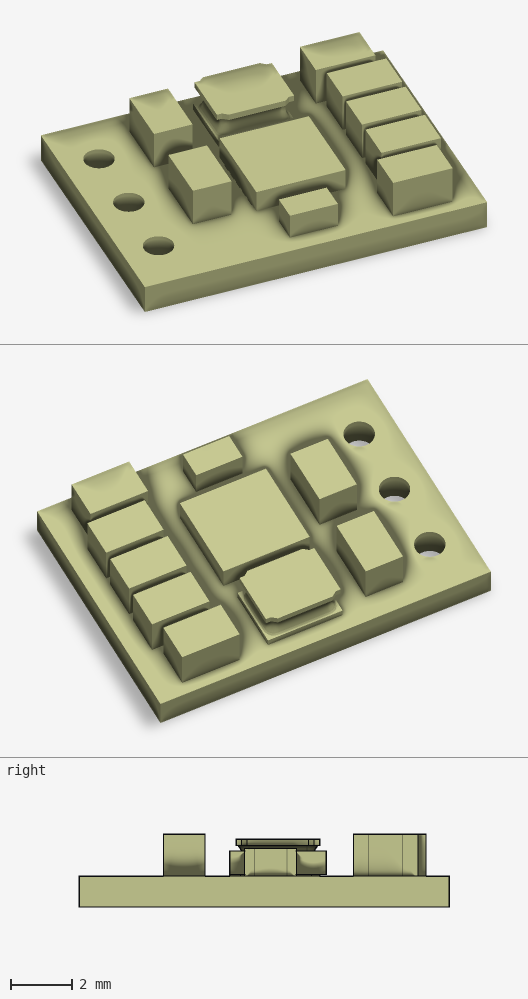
import cadquery as cq

BOARD_X = 8.89
BOARD_Y = 12.06
BOARD_Z = 1.01

HOLE_COUNT = 3
HOLE_DIAMETER = 1.03
HOLE_PITCH = 2.55
HOLE_Y = -4.76

CAP_LENGTH = 2.1
CAP_WIDTH = 1.36
CAP_HEIGHT = 1.36
CAP_TERMINAL = 0.5
CAP_ROW_COUNT = 5
CAP_ROW_PITCH = 1.65
CAP_ROW_OUTER_Y = 3.95
CAP_ROW_INNER_Y = 4.22
LYING_CAP_Y = -2.6
LYING_CAP_XS = (-2.48, 0.85)

SMALL_CAP_LENGTH = 1.69
SMALL_CAP_WIDTH = 0.95
SMALL_CAP_HEIGHT = 0.89
SMALL_CAP_TERMINAL = 0.31
SMALL_CAP_X = 3.29
SMALL_CAP_Y = 0.2

MIDDLE_ROW_Y = 0.45
CHIP_X = 0.51
CHIP_SIDE = 3.15
CHIP_HEIGHT = 0.82
CHIP_GAP = 0.05
THERMAL_PAD_SIDE = 2.17
SIDE_PAD_COUNT = 4
SIDE_PAD_PITCH = 0.4
SIDE_PAD_WIDTH = 0.22
SIDE_PAD_LENGTH = 0.36
SIDE_PAD_OVERHANG = 0.04
FRONT_PAD_COUNT = 5
FRONT_PAD_PITCH = 0.5
FRONT_PAD_WIDTH = 0.31
FRONT_PAD_HEIGHT = 0.18
FRONT_PAD_LENGTH = 0.36

INDUCTOR_X = -2.76
INDUCTOR_SIZE_X = 2.2
INDUCTOR_SIZE_Y = 2.73
INDUCTOR_HEIGHT = 1.2
BASE_FLANGE_THICKNESS = 0.24
TOP_FLANGE_THICKNESS = 0.22
NOTCH_X = 0.15
NOTCH_STRAIGHT_Y = 0.18
NOTCH_TOTAL_Y = 0.36
SPOOL_INSET = 0.06
SPOOL_CORNER_RADIUS = 0.36
LIP_SIZE = 0.05
WAIST_DEPTH = 0.1


def centred_positions(count, pitch):
    return [(i - (count - 1) / 2) * pitch for i in range(count)]


def standing_box(size_x, size_y, height, x=0, y=0, z=0):
    """Box centred on (x, y) with its underside at z."""
    return cq.Workplane("XY").box(size_x, size_y, height, centered=(True, True, False)).translate((x, y, z))


def make_board():
    holes = [(x, HOLE_Y) for x in centred_positions(HOLE_COUNT, HOLE_PITCH)]
    board = standing_box(BOARD_X, BOARD_Y, BOARD_Z)
    return board.faces(">Z").workplane(origin=(0, 0, 0)).pushPoints(holes).hole(HOLE_DIAMETER)


def make_capacitor(length, width, height, terminal):
    """Capacitor along Y; its terminals are flush with its body but keep their own faces."""
    capacitor = standing_box(width, length - 2 * terminal, height)
    for side in (-1, 1):
        cap_end = standing_box(width, terminal, height, y=side * (length - terminal) / 2)
        capacitor = capacitor.union(cap_end, clean=False)
    return capacitor


def make_chip():
    half = CHIP_SIDE / 2
    chip = standing_box(CHIP_SIDE, CHIP_SIDE, CHIP_HEIGHT - CHIP_GAP, z=CHIP_GAP)
    chip = chip.union(standing_box(THERMAL_PAD_SIDE, THERMAL_PAD_SIDE, CHIP_GAP))
    side_pad_x = -half - SIDE_PAD_OVERHANG + SIDE_PAD_LENGTH / 2
    for y in centred_positions(SIDE_PAD_COUNT, SIDE_PAD_PITCH):
        chip = chip.union(standing_box(SIDE_PAD_LENGTH, SIDE_PAD_WIDTH, CHIP_GAP, side_pad_x, y))
    pads = cq.Workplane("XY")
    for x in centred_positions(FRONT_PAD_COUNT, FRONT_PAD_PITCH):
        pad_y = -half + FRONT_PAD_LENGTH / 2
        pads = pads.add(standing_box(FRONT_PAD_WIDTH, FRONT_PAD_LENGTH, FRONT_PAD_HEIGHT, x, pad_y))
    pads = pads.combine()
    return chip.cut(pads).union(pads, clean=False)


def make_top_flange():
    """Plate with every corner notched by a short straight cut and a slanted cut."""
    half_x = INDUCTOR_SIZE_X / 2
    half_y = INDUCTOR_SIZE_Y / 2
    flange = standing_box(INDUCTOR_SIZE_X, INDUCTOR_SIZE_Y, TOP_FLANGE_THICKNESS)
    for side_x in (-1, 1):
        for side_y in (-1, 1):
            inner_x = side_x * (half_x - NOTCH_X)
            notch = (
                cq.Workplane("XY")
                .moveTo(side_x * half_x, side_y * half_y)
                .lineTo(inner_x, side_y * half_y)
                .lineTo(inner_x, side_y * (half_y - NOTCH_STRAIGHT_Y))
                .lineTo(side_x * half_x, side_y * (half_y - NOTCH_TOTAL_Y))
                .close()
                .extrude(TOP_FLANGE_THICKNESS)
            )
            flange = flange.cut(notch)
    return flange.translate((0, 0, INDUCTOR_HEIGHT - TOP_FLANGE_THICKNESS))


def make_spool():
    """Rounded block with a groove all round: bevelled lips and a hollow waist."""
    size_x = INDUCTOR_SIZE_X - 2 * SPOOL_INSET
    size_y = INDUCTOR_SIZE_Y - 2 * SPOOL_INSET
    half_x = size_x / 2
    half_y = size_y / 2
    radius = SPOOL_CORNER_RADIUS
    bottom = BASE_FLANGE_THICKNESS
    top = INDUCTOR_HEIGHT - TOP_FLANGE_THICKNESS
    block = standing_box(size_x, size_y, top - bottom, z=bottom).edges("|Z").fillet(radius)

    rim = (
        cq.Workplane("XY", origin=(0, 0, bottom))
        .moveTo(half_x, 0)
        .lineTo(half_x, half_y - radius)
        .radiusArc((half_x - radius, half_y), -radius)
        .lineTo(radius - half_x, half_y)
        .radiusArc((-half_x, half_y - radius), -radius)
        .lineTo(-half_x, radius - half_y)
        .radiusArc((radius - half_x, -half_y), -radius)
        .lineTo(half_x - radius, -half_y)
        .radiusArc((half_x, radius - half_y), -radius)
        .close()
    )
    lip_x = half_x - LIP_SIZE
    groove = (
        cq.Workplane("XZ")
        .moveTo(half_x, bottom)
        .lineTo(lip_x, bottom + LIP_SIZE)
        .threePointArc((lip_x - WAIST_DEPTH, (bottom + top) / 2), (lip_x, top - LIP_SIZE))
        .lineTo(half_x, top)
        .close()
        .sweep(rim)
    )
    return block.cut(groove)


def make_inductor():
    base_flange = standing_box(INDUCTOR_SIZE_X, INDUCTOR_SIZE_Y, BASE_FLANGE_THICKNESS)
    return base_flange.union(make_spool()).union(make_top_flange())


capacitor = make_capacitor(CAP_LENGTH, CAP_WIDTH, CAP_HEIGHT, CAP_TERMINAL)
small_capacitor = make_capacitor(SMALL_CAP_LENGTH, SMALL_CAP_WIDTH, SMALL_CAP_HEIGHT, SMALL_CAP_TERMINAL)
lying_capacitor = capacitor.rotate((0, 0, 0), (0, 0, 1), 90)

placements = [
    (make_chip(), CHIP_X, MIDDLE_ROW_Y),
    (make_inductor(), INDUCTOR_X, MIDDLE_ROW_Y),
    (small_capacitor, SMALL_CAP_X, SMALL_CAP_Y),
]
for cap_x in LYING_CAP_XS:
    placements.append((lying_capacitor, cap_x, LYING_CAP_Y))
cap_row_xs = centred_positions(CAP_ROW_COUNT, CAP_ROW_PITCH)
for cap_x in cap_row_xs:
    at_row_end = cap_x in (cap_row_xs[0], cap_row_xs[-1])
    cap_y = CAP_ROW_OUTER_Y if at_row_end else CAP_ROW_INNER_Y
    placements.append((capacitor, cap_x, cap_y))

result = make_board()
for component, x, y in placements:
    result = result.union(component.translate((x, y, BOARD_Z)), clean=False)